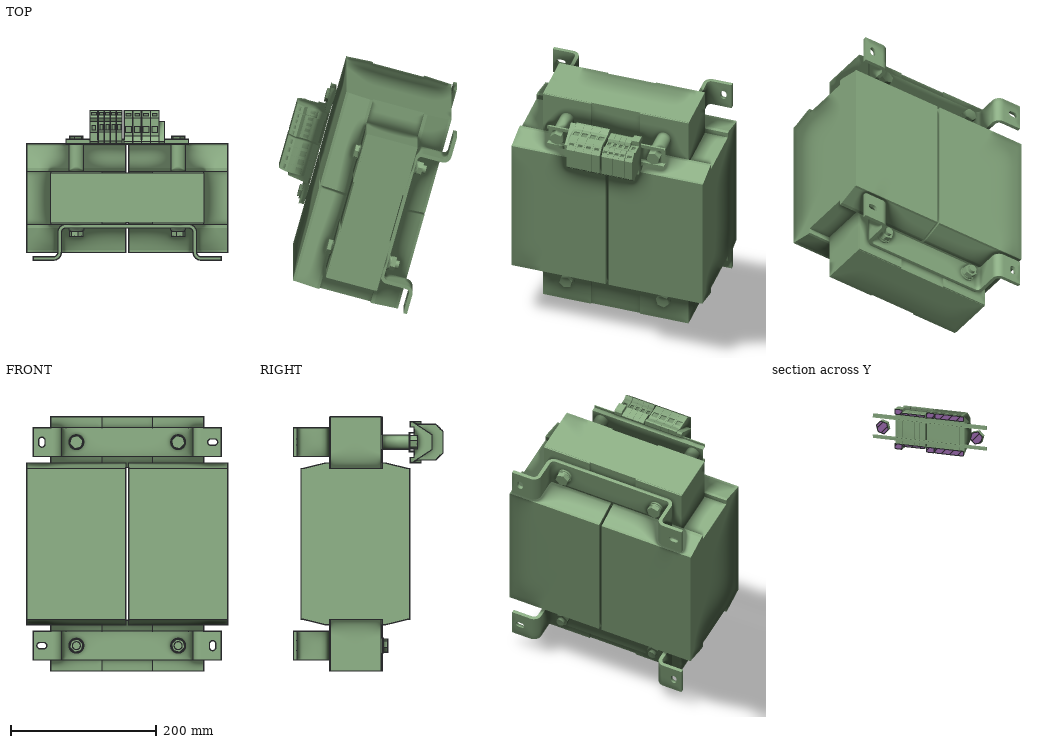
import cadquery as cq
import math

CORE_WIDTH = 211.0
CORE_HEIGHT = 350.0
YOKE_HEIGHT = 70.0
WINDOW_WIDTH = 70.0
CORE_DEPTH = 69.0
CORE_CENTRE_Y = 0.5
CHEEK_THICKNESS = 2.0
CHEEK_SETBACK = 0.3
YOKE_Z = (CORE_HEIGHT - YOKE_HEIGHT) / 2
BACK_FACE_Y = CORE_CENTRE_Y + CORE_DEPTH / 2 + CHEEK_THICKNESS
FRONT_FACE_Y = CORE_CENTRE_Y - CORE_DEPTH / 2 - CHEEK_THICKNESS

COILS_WIDTH = 277.0
COIL_GAP = 3.8
COIL_DEPTH = 150.0
COIL_SHOULDER_Z = 104.0
COIL_CREST_Z = 111.5
COIL_LIP = 3.5
COIL_CREST_Y = 41.0

BRACKET_LENGTH = 259.0
BRACKET_HEIGHT = 40.0
BRACKET_THICKNESS = 5.0
BRACKET_LEG_SPAN = 191.0
FOOT_Y = -85.4
BEND_INNER_RADIUS = 6.0
BEND_OUTER_RADIUS = BEND_INNER_RADIUS + BRACKET_THICKNESS
SLOT_WIDTH = 8.5
SLOT_LENGTH = 13.5
SLOT_X = 117.5
BRACKET_FACE_Y = FRONT_FACE_Y - BRACKET_THICKNESS

BOLT_X = 70.0
HEX_ACROSS_FLATS = 16.5
HEX_TURN = 15.0
HEAD_HEIGHT = 6.6
WASHER_DIAMETER = 20.5
WASHER_THICKNESS = 2.4
SPRING_WASHER_DIAMETER = 18.0
STUD_DIAMETER = 11.0
STUD_PROJECTION = 5.0
BACK_HEAD_HEIGHT = 7.5
BACK_WASHER_THICKNESS = 1.5

SPACER_DIAMETER = 20.0
RAIL_LENGTH = 169.0
RAIL_BASE_Y = 74.0
RAIL_DEPTH = 7.5
RAIL_BASE_HEIGHT = 27.0
RAIL_OVERALL_HEIGHT = 35.0
RAIL_SHEET = 1.0
RAIL_HEAD_HEIGHT = 10.4

TERMINAL_TOP_Y = 120.7
TERMINAL_BOTTOM_Y = 75.2
TERMINAL_HIP_Y = 77.7
TOP_HALF = 14.8
BODY_HALF = 24.8
SHOULDER_Y = 110.5
FLOOR_HALF = 20.8
FLOOR_Y = 105.8
FOOT_HALF = 28.5
FOOT_BEVEL = 2.0
NARROW_FOOT_HALF = 24.5
NARROW_HIP_Y = 78.8
WIDE_HIP_Y = 85.3
HOOK_INNER_HALF = 20.8
RAIL_SEAT_Y = RAIL_BASE_Y + RAIL_DEPTH - RAIL_SHEET
POCKET_DEPTH = 2.0
END_BEVEL_POCKET = (6.5, 3.5, 116.0)
END_SIDE_POCKET = (5.0, 6.5, 97.0)
NARROW_BEVEL_POCKET = (5.5, 3.5, 116.0)
NARROW_SIDE_POCKET = (4.5, 7.0, 97.7)
WIDE_BEVEL_POCKET = (6.5, 3.5, 115.0)
WIDE_SIDE_POCKET = (8.0, 8.5, 94.7)
NARROW_PITCH = 8.25
NARROW_START_X = -39.7
WIDE_PITCH = 12.05
WIDE_START_X = -4.3
TERMINAL_GAP = 0.2
END_STEP_Y = 90.3
NARROW_STEP_TOP_Y = 93.6
NARROW_STEP_BOTTOM_Y = 91.4
TERMINAL_COUNT = 4
END_TERMINAL_WIDTH = 10.8
END_TERMINAL_X = -51.3
STOP_WIDTH = 7.5
STOP_TOP_Y = 105.7
STOP_TOP_HALF = 10.0


def box(x0, x1, y0, y1, z0, z1):
    """Block between two limits on each axis."""
    block = cq.Workplane("XY").box(x1 - x0, y1 - y0, z1 - z0, centered=False)
    return block.translate((x0, y0, z0))


def disc(x, z, diameter, y0, y1):
    """Round bar along Y from y0 to y1."""
    bar = cq.Workplane("XZ").circle(diameter / 2).extrude(y0 - y1)
    return bar.translate((x, y0, z))


def hexagon(x, z, turn, y0, y1):
    """Hexagonal bar along Y from y0 to y1, turned about its axis."""
    diameter = HEX_ACROSS_FLATS / math.cos(math.pi / 6)
    bar = cq.Workplane("XZ").polygon(6, diameter).extrude(y0 - y1)
    return bar.rotate((0, 0, 0), (0, 1, 0), turn).translate((x, y0, z))


def make_core():
    """Closed frame with a proud cheek on each limb."""
    half_width = CORE_WIDTH / 2
    half_height = CORE_HEIGHT / 2
    half_depth = CORE_DEPTH / 2
    frame = box(-half_width, half_width, CORE_CENTRE_Y - half_depth, CORE_CENTRE_Y + half_depth,
                -half_height, half_height)
    for side in (-1, 1):
        left, right = sorted((side * WINDOW_WIDTH / 2, side * (half_width - CHEEK_SETBACK)))
        cheek_top = half_height - CHEEK_SETBACK
        frame = frame.union(box(left, right, FRONT_FACE_Y, BACK_FACE_Y, -cheek_top, cheek_top))
    window = cq.Workplane("XZ").rect(WINDOW_WIDTH, CORE_HEIGHT - 2 * YOKE_HEIGHT)
    return frame.cut(window.extrude(COIL_DEPTH, both=True))


def make_coil(side):
    """Coil block whose ends slope up to crests beside a channel for the yoke."""
    half_depth = COIL_DEPTH / 2
    upper = [
        (-half_depth, COIL_SHOULDER_Z),
        (-half_depth + COIL_LIP, COIL_SHOULDER_Z),
        (-COIL_CREST_Y, COIL_CREST_Z),
        (FRONT_FACE_Y, COIL_CREST_Z),
        (FRONT_FACE_Y, COIL_SHOULDER_Z),
        (BACK_FACE_Y, COIL_SHOULDER_Z),
        (BACK_FACE_Y, COIL_CREST_Z),
        (COIL_CREST_Y, COIL_CREST_Z),
        (half_depth - COIL_LIP, COIL_SHOULDER_Z),
        (half_depth, COIL_SHOULDER_Z),
    ]
    lower = [(y, -z) for y, z in reversed(upper)]
    width = (COILS_WIDTH - COIL_GAP) / 2
    coil = cq.Workplane("YZ").polyline(upper + lower).close().extrude(width)
    start = COIL_GAP / 2 if side > 0 else -COILS_WIDTH / 2
    return coil.translate((start, 0, 0))


def make_bracket(z, upright_slot_side):
    """Bent strap with two feet, one slot upright and the other level."""
    leg_x = BRACKET_LEG_SPAN / 2
    leg_inner_x = leg_x - BRACKET_THICKNESS
    end_x = BRACKET_LENGTH / 2
    foot_top_y = FOOT_Y + BRACKET_THICKNESS
    half_bar = box(0, leg_x, BRACKET_FACE_Y, FRONT_FACE_Y, -BRACKET_HEIGHT / 2, BRACKET_HEIGHT / 2)
    leg = box(leg_inner_x, leg_x, FOOT_Y, FRONT_FACE_Y, -BRACKET_HEIGHT / 2, BRACKET_HEIGHT / 2)
    foot = box(leg_inner_x, end_x, FOOT_Y, foot_top_y, -BRACKET_HEIGHT / 2, BRACKET_HEIGHT / 2)
    half = half_bar.union(leg).union(foot)
    reach = BRACKET_THICKNESS / 4
    for x, y, radius in (
        (leg_x, FRONT_FACE_Y, BEND_OUTER_RADIUS),
        (leg_inner_x, BRACKET_FACE_Y, BEND_INNER_RADIUS),
        (leg_inner_x, FOOT_Y, BEND_OUTER_RADIUS),
        (leg_x, foot_top_y, BEND_INNER_RADIUS),
    ):
        corner = cq.selectors.BoxSelector((x - reach, y - reach, -reach), (x + reach, y + reach, reach))
        half = half.edges(corner).fillet(radius)
    bracket = half.union(half.mirror("YZ"))
    for side in (-1, 1):
        angle = 90 if side == upright_slot_side else 0
        slot = cq.Workplane("XZ").slot2D(SLOT_LENGTH, SLOT_WIDTH, angle).extrude(COIL_DEPTH)
        bracket = bracket.cut(slot.translate((side * SLOT_X, foot_top_y, 0)))
    return bracket.translate((0, 0, z))


def make_front_washers(x, z):
    middle = BRACKET_FACE_Y - WASHER_THICKNESS
    washer = disc(x, z, WASHER_DIAMETER, middle, BRACKET_FACE_Y)
    return washer.union(disc(x, z, SPRING_WASHER_DIAMETER, middle - WASHER_THICKNESS, middle))


def make_upper_bolt(side):
    """Front head and washers, spacer behind the yoke and head on the rail."""
    x = side * BOLT_X
    turn = side * HEX_TURN
    seat = BRACKET_FACE_Y - 2 * WASHER_THICKNESS
    head_base = RAIL_BASE_Y + RAIL_SHEET
    return (
        make_front_washers(x, YOKE_Z)
        .union(hexagon(x, YOKE_Z, turn, seat - HEAD_HEIGHT, seat))
        .union(disc(x, YOKE_Z, SPACER_DIAMETER, BACK_FACE_Y, RAIL_BASE_Y))
        .union(hexagon(x, YOKE_Z, -turn, head_base, head_base + RAIL_HEAD_HEIGHT))
    )


def make_lower_bolt(side):
    """Head at the back, washers, nut and stud end at the front."""
    x = side * BOLT_X
    seat = BRACKET_FACE_Y - 2 * WASHER_THICKNESS
    nut_end = seat - HEAD_HEIGHT
    return (
        make_front_washers(x, -YOKE_Z)
        .union(hexagon(x, -YOKE_Z, side * HEX_TURN, nut_end, seat))
        .union(disc(x, -YOKE_Z, STUD_DIAMETER, nut_end - STUD_PROJECTION, nut_end))
        .union(disc(x, -YOKE_Z, WASHER_DIAMETER, BACK_FACE_Y, BACK_FACE_Y + BACK_WASHER_THICKNESS))
        .union(hexagon(x, -YOKE_Z, side * HEX_TURN, BACK_FACE_Y, BACK_FACE_Y + BACK_HEAD_HEIGHT))
    )


def make_rail():
    """Top-hat rail, open toward +Y."""
    half_length = RAIL_LENGTH / 2
    half_base = RAIL_BASE_HEIGHT / 2
    half_overall = RAIL_OVERALL_HEIGHT / 2
    front_y = RAIL_BASE_Y + RAIL_DEPTH
    rail = box(-half_length, half_length, RAIL_BASE_Y, front_y, -half_base, half_base)
    rail = rail.cut(box(-half_length, half_length, RAIL_BASE_Y + RAIL_SHEET, front_y,
                        -half_base + RAIL_SHEET, half_base - RAIL_SHEET))
    for side in (-1, 1):
        low, high = sorted((side * (half_base - RAIL_SHEET), side * half_overall))
        rail = rail.union(box(-half_length, half_length, front_y - RAIL_SHEET, front_y, low, high))
    return rail.translate((0, 0, YOKE_Z))


def extrude_profile(half_profile, x, width):
    """Extrude along X an outline of (y, z) points mirrored about the rail axis."""
    mirrored = [(y, -z) for y, z in reversed(half_profile)]
    block = cq.Workplane("YZ").polyline(half_profile + mirrored).close().extrude(width)
    return block.translate((x, 0, YOKE_Z))


HOOK_PROFILE = [
    (TERMINAL_BOTTOM_Y, HOOK_INNER_HALF),
    (RAIL_SEAT_Y, HOOK_INNER_HALF),
]
FOOT_PROFILE = [
    (TERMINAL_HIP_Y, FOOT_HALF),
    (TERMINAL_BOTTOM_Y, FOOT_HALF - FOOT_BEVEL),
] + HOOK_PROFILE
RECESSED_TOP_PROFILE = [
    (TERMINAL_TOP_Y, TOP_HALF),
    (SHOULDER_Y, BODY_HALF),
    (FLOOR_Y, FLOOR_HALF),
]
END_PROFILE = RECESSED_TOP_PROFILE + [
    (END_STEP_Y, FLOOR_HALF),
    (END_STEP_Y, FOOT_HALF),
] + FOOT_PROFILE
NARROW_PROFILE = RECESSED_TOP_PROFILE + [
    (NARROW_STEP_TOP_Y, FLOOR_HALF),
    (NARROW_STEP_BOTTOM_Y, NARROW_FOOT_HALF),
    (NARROW_HIP_Y, NARROW_FOOT_HALF),
    (TERMINAL_BOTTOM_Y, NARROW_FOOT_HALF - FOOT_BEVEL),
] + HOOK_PROFILE
WIDE_PROFILE = [
    (TERMINAL_TOP_Y, TOP_HALF),
    (SHOULDER_Y, BODY_HALF),
    (WIDE_HIP_Y, BODY_HALF),
    (TERMINAL_HIP_Y, FOOT_HALF),
    (TERMINAL_BOTTOM_Y, FOOT_HALF),
] + HOOK_PROFILE
STOP_PROFILE = [(STOP_TOP_Y, STOP_TOP_HALF)] + FOOT_PROFILE


def cut_pockets(block, x, side_half, bevel_pocket, side_pocket):
    """Cut one pocket in each bevel and one in each side of a terminal."""
    bevel_slope = (BODY_HALF - TOP_HALF) / (TERMINAL_TOP_Y - SHOULDER_Y)
    bevel_half = TOP_HALF + (TERMINAL_TOP_Y - bevel_pocket[2]) * bevel_slope
    for half, pocket_shape in ((bevel_half, bevel_pocket), (side_half, side_pocket)):
        width, length, y = pocket_shape
        for side in (-1, 1):
            low, high = sorted((side * (half - POCKET_DEPTH), side * BODY_HALF))
            pocket = box(x - width / 2, x + width / 2, y - length / 2, y + length / 2, low, high)
            block = block.cut(pocket.translate((0, 0, YOKE_Z)))
    return block


def make_end_terminal():
    block = extrude_profile(END_PROFILE, END_TERMINAL_X, END_TERMINAL_WIDTH)
    middle_x = END_TERMINAL_X + END_TERMINAL_WIDTH / 2
    return cut_pockets(block, middle_x, FLOOR_HALF, END_BEVEL_POCKET, END_SIDE_POCKET)


def make_narrow_terminal(index):
    x = NARROW_START_X + index * NARROW_PITCH
    block = extrude_profile(NARROW_PROFILE, x, NARROW_PITCH - TERMINAL_GAP)
    middle_x = x + NARROW_PITCH / 2
    return cut_pockets(block, middle_x, FLOOR_HALF, NARROW_BEVEL_POCKET, NARROW_SIDE_POCKET)


def make_wide_terminal(index):
    x = WIDE_START_X + index * WIDE_PITCH
    block = extrude_profile(WIDE_PROFILE, x, WIDE_PITCH - TERMINAL_GAP)
    middle_x = x + WIDE_PITCH / 2
    return cut_pockets(block, middle_x, BODY_HALF, WIDE_BEVEL_POCKET, WIDE_SIDE_POCKET)


def make_end_stop():
    x = WIDE_START_X + WIDE_PITCH * TERMINAL_COUNT
    return extrude_profile(STOP_PROFILE, x, STOP_WIDTH)


result = make_core()
for side in (-1, 1):
    result = result.union(make_coil(side))
    result = result.union(make_bracket(side * YOKE_Z, -side))
    result = result.union(make_upper_bolt(side))
    result = result.union(make_lower_bolt(side))
result = result.union(make_rail()).union(make_end_terminal()).union(make_end_stop())
for index in range(TERMINAL_COUNT):
    result = result.union(make_narrow_terminal(index)).union(make_wide_terminal(index))